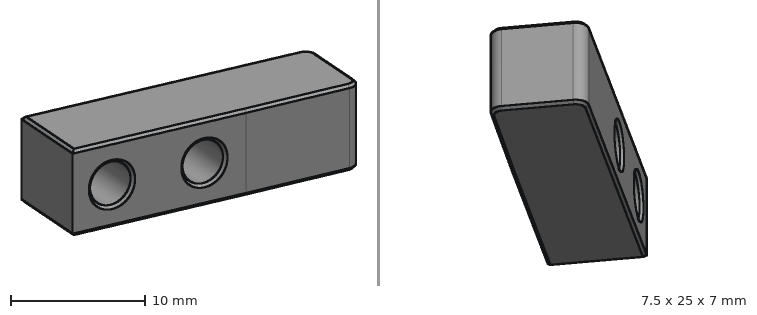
import cadquery as cq
import math

length = 25.0
width = 7.5
height = 7.0

edge_chamfer = 0.25
corner_radius = 1.0

relief_start = 15.0
relief_angle = 0.5

hole_diameter = 3.5
countersink_depth = 0.25
first_hole_y = 3.4
hole_pitch = 8.0

relief_depth = (length - relief_start) * math.tan(math.radians(relief_angle))


def make_block():
    """Bar with a relieved +X side, rounded far corners and chamfered edges."""
    half_width = width / 2
    bar = (
        cq.Workplane("XY")
        .workplane(offset=-height / 2)
        .moveTo(-half_width, 0)
        .lineTo(half_width, 0)
        .lineTo(half_width, relief_start)
        .lineTo(half_width - relief_depth, length)
        .lineTo(-half_width, length)
        .close()
        .extrude(height)
    )
    bar = bar.edges("|Z and >Y").fillet(corner_radius)
    return bar.faces("<Z or >Z").edges().chamfer(edge_chamfer)


def make_hole(y):
    """Through-hole cutter along X, countersunk at both ends."""
    half_width = width / 2
    radius = hole_diameter / 2
    mouth_radius = radius + countersink_depth
    return (
        cq.Workplane("XY")
        .moveTo(-half_width, 0)
        .lineTo(-half_width, mouth_radius)
        .lineTo(-half_width + countersink_depth, radius)
        .lineTo(half_width - countersink_depth, radius)
        .lineTo(half_width, mouth_radius)
        .lineTo(half_width, 0)
        .close()
        .revolve(360, (0, 0, 0), (1, 0, 0))
        .translate((0, y, 0))
    )


result = make_block()
for hole_index in range(2):
    result = result.cut(make_hole(first_hole_y + hole_index * hole_pitch))